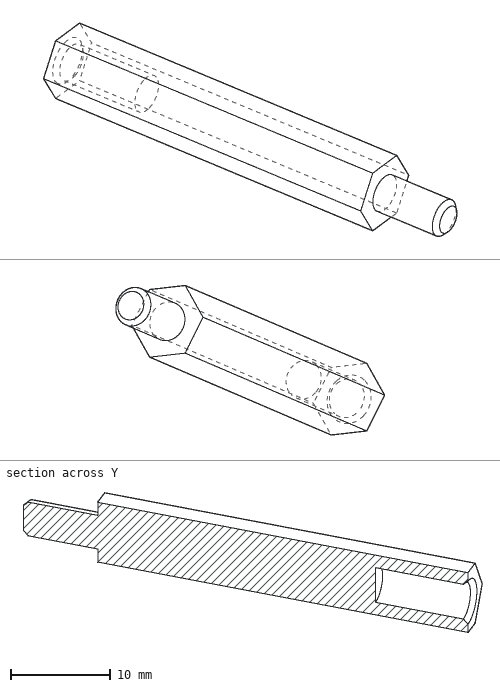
import cadquery as cq
import math

total_length = 48.0
stud_length = 8.0
body_length = total_length - stud_length
hex_sides = 6
across_flats = 7.0
across_corners = across_flats / math.cos(math.pi / hex_sides)

stud_diameter = 4.0
stud_chamfer = 0.55

hole_diameter = 4.0
hole_depth = 10.0
countersink_diameter = 5.0
countersink_depth = (countersink_diameter - hole_diameter) / 2


def hex_body():
    """Hexagonal bar along X with flats facing up and down."""
    return cq.Workplane("YZ").polygon(hex_sides, across_corners).extrude(body_length)


def stud():
    """Round stud with a chamfered tip."""
    return (
        cq.Workplane("YZ", origin=(body_length, 0, 0))
        .circle(stud_diameter / 2)
        .extrude(stud_length)
        .faces(">X")
        .chamfer(stud_chamfer)
    )


def countersunk_hole():
    """Flat-bottomed blind hole with a 45 degree countersink at its mouth."""
    hole_radius = hole_diameter / 2
    profile = [
        (0, 0),
        (0, countersink_diameter / 2),
        (countersink_depth, hole_radius),
        (hole_depth, hole_radius),
        (hole_depth, 0),
    ]
    return cq.Workplane("XY").polyline(profile).close().revolve(360, (0, 0, 0), (1, 0, 0))


result = hex_body().union(stud()).cut(countersunk_hole())